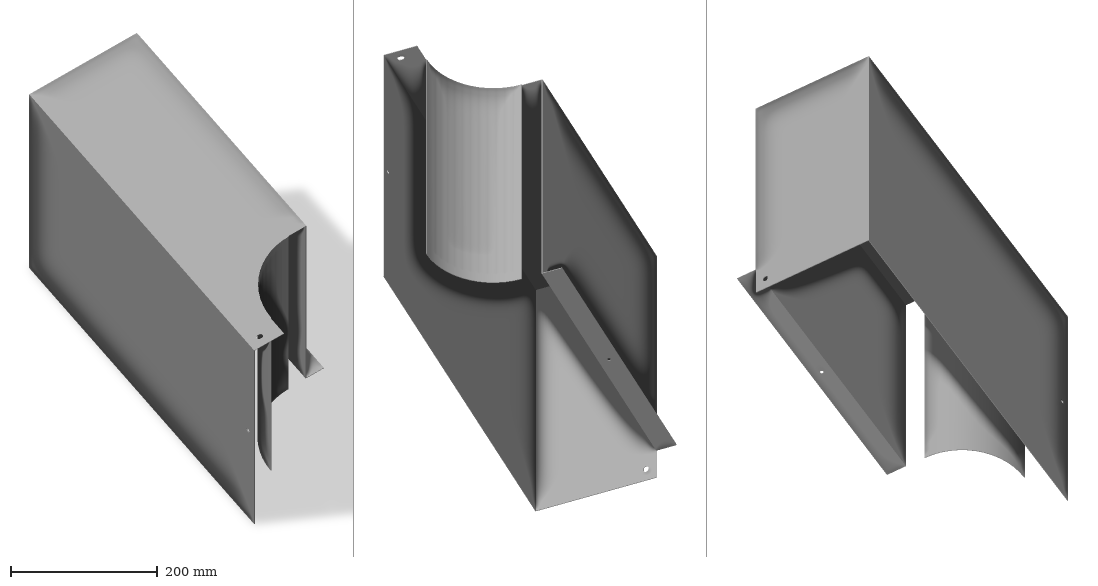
import cadquery as cq

length = 531.0
height = 400.0
overall_depth = 209.0
sheet = 1.0

back_length = 400.0
toe_depth = 50.0
scoop_radius = 100.0
scoop_end_x = back_length + scoop_radius
scoop_end_y = toe_depth + scoop_radius

flange_width = 30.5
flange_z = 49.0
back_y = overall_depth - flange_width
back_height = height - flange_z

countersink_diameter = 7.0
small_hole_diameter = 5.0
slot_width = 7.0
slot_length = 10.0
hole_inset = 15.0
hole_x = length - hole_inset
flange_hole_y = overall_depth - 15.5
top_slot_y = 19.5
side_slot_y = back_y - hole_inset
side_slot_z = 20.0
cut_depth = 4 * sheet


def panel(x_size, y_size, z_size, y=0.0, z=0.0):
    """Flat panel starting at the left end, with its lowest corner at (0, y, z)."""
    return cq.Workplane("XY", origin=(0, y, z)).box(x_size, y_size, z_size, centered=False)


def top_panel():
    """Flat top, scooped out at the back right."""
    return (
        cq.Workplane("XY", origin=(0, 0, height - sheet))
        .lineTo(length, 0)
        .lineTo(length, toe_depth)
        .lineTo(scoop_end_x, toe_depth)
        .radiusArc((back_length, scoop_end_y), scoop_radius)
        .lineTo(back_length, back_y)
        .lineTo(0, back_y)
        .close()
        .extrude(sheet)
    )


def scoop_wall():
    """Curved sheet lining the scoop edge, from flange level up to the top."""
    return (
        cq.Workplane("XY", origin=(0, 0, flange_z))
        .moveTo(scoop_end_x, toe_depth)
        .radiusArc((back_length, scoop_end_y), scoop_radius)
        .lineTo(back_length + sheet, scoop_end_y)
        .radiusArc((scoop_end_x, toe_depth + sheet), -(scoop_radius - sheet))
        .close()
        .extrude(back_height)
    )


def front_hole():
    """Countersunk hole through the front panel, wide on the outside."""
    return (
        cq.Workplane("XZ", origin=(hole_x, 0, height / 2))
        .circle(countersink_diameter / 2)
        .workplane(offset=-sheet)
        .circle(small_hole_diameter / 2)
        .loft()
    )


def flange_hole():
    """Round hole at the middle of the flange."""
    return (
        cq.Workplane("XY", origin=(back_length / 2, flange_hole_y, flange_z + sheet / 2))
        .circle(small_hole_diameter / 2)
        .extrude(cut_depth / 2, both=True)
    )


def slot(plane, origin):
    """Slot cutter centred on the origin, its length along the plane's second axis."""
    return (
        cq.Workplane(plane, origin=origin)
        .slot2D(slot_length, slot_width, 90)
        .extrude(cut_depth / 2, both=True)
    )


front_panel = panel(length, sheet, height)
side_panel = panel(sheet, back_y, height)
back_panel = panel(back_length, sheet, back_height, back_y, flange_z)
flange = panel(back_length, flange_width, sheet, back_y, flange_z)
top_slot = slot("XY", (hole_x, top_slot_y, height - sheet / 2))
side_slot = slot("YZ", (sheet / 2, side_slot_y, side_slot_z))

result = top_panel()
for sheet_part in (front_panel, side_panel, back_panel, flange, scoop_wall()):
    result = result.union(sheet_part)
for cutter in (front_hole(), flange_hole(), top_slot, side_slot):
    result = result.cut(cutter)